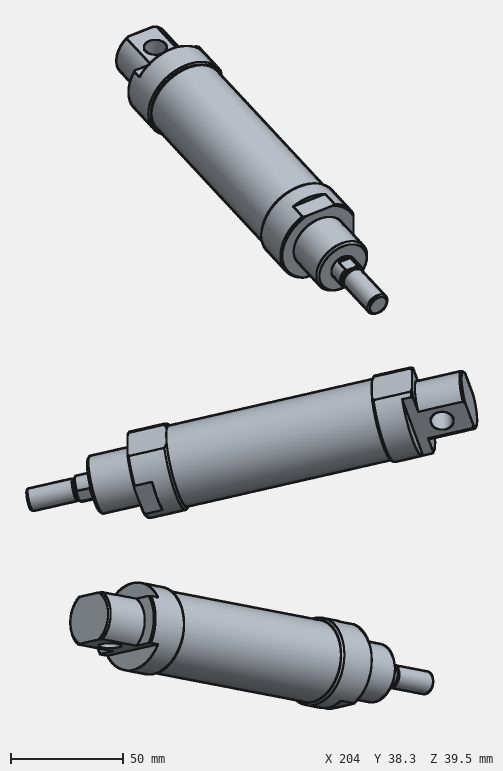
import cadquery as cq


overall_length = 204.0
cap_rear_x = 21.5
tongue_flat_end_x = 26.3
tube_start_x = 40.0
tube_end_x = 135.0
wrench_flat_start_x = 144.6
cap_front_x = 153.2
nose_end_x = 173.6
rod_flat_start_x = 175.0
rod_shoulder_x = 181.5
rod_end_start_x = 182.8

cap_diameter = 39.5
tube_diameter = 37.1
tongue_diameter = 26.5
nose_diameter = 26.5
rod_diameter = 12.0
neck_diameter = 8.5
rod_end_diameter = 10.5

cap_flat_distance = 18.0
tongue_thickness = 21.5
rod_flat_width = 10.5
pivot_diameter = 10.2
pivot_x = 12.6

tongue_chamfer = 0.8
cap_face_chamfer = 0.6
rear_cap_joint_chamfer = 0.8
front_cap_joint_chamfer = 1.0
nose_chamfer = 1.0
rod_shoulder_chamfer = 0.6
rod_end_chamfer = 0.8

top_and_bottom = (0, 180)
back = (-90,)


def rod_section(start_x, end_x, diameter):
    """Round bar along the axis from start_x to end_x."""
    return cq.Workplane("YZ", origin=(start_x, 0, 0)).circle(diameter / 2).extrude(end_x - start_x)


def flat_cutter(start_x, end_x, distance, angle):
    """Block that leaves a flat at the given distance from the axis.

    The flat faces +Z at angle 0 and turns about the X axis.
    """
    block = cq.Workplane("XY", origin=(start_x, 0, distance)).box(
        end_x - start_x, cap_diameter, cap_diameter, centered=(False, True, False)
    )
    return block.rotate((0, 0, 0), (1, 0, 0), angle)


def cut_flats(body, start_x, end_x, distance, angles):
    """Cut a flat on the body at each of the angles."""
    for angle in angles:
        body = body.cut(flat_cutter(start_x, end_x, distance, angle))
    return body


def make_rear_cap():
    """Cap with a flat-sided, drilled pivot tongue."""
    cap = rod_section(cap_rear_x, tube_start_x, cap_diameter)
    cap = cap.faces("<X").chamfer(cap_face_chamfer)
    cap = cap.faces(">X").chamfer(rear_cap_joint_chamfer)
    cap = cut_flats(cap, cap_rear_x, tube_start_x, cap_flat_distance, back)

    tongue = rod_section(0, cap_rear_x, tongue_diameter).faces("<X").chamfer(tongue_chamfer)
    cap = cap.union(tongue)
    cap = cut_flats(cap, 0, tongue_flat_end_x, tongue_thickness / 2, top_and_bottom)

    pivot_hole = (
        cq.Workplane("XY")
        .center(pivot_x, 0)
        .circle(pivot_diameter / 2)
        .extrude(tongue_thickness, both=True)
    )
    return cap.cut(pivot_hole)


def make_tube():
    """Plain barrel between the two caps."""
    return rod_section(tube_start_x, tube_end_x, tube_diameter)


def make_front_cap():
    """Cap with wrench flats and a round nose."""
    cap = rod_section(tube_end_x, cap_front_x, cap_diameter)
    cap = cap.faces("<X").chamfer(front_cap_joint_chamfer)
    cap = cap.faces(">X").chamfer(cap_face_chamfer)
    cap = cut_flats(cap, tube_end_x, cap_front_x, cap_flat_distance, back)
    cap = cut_flats(cap, wrench_flat_start_x, cap_front_x, cap_flat_distance, top_and_bottom)

    nose = rod_section(cap_front_x, nose_end_x, nose_diameter).faces(">X").chamfer(nose_chamfer)
    return cap.union(nose)


def make_piston_rod():
    """Exposed rod end: a shank with two flats, an undercut neck and a plain round end."""
    shank = rod_section(nose_end_x, rod_shoulder_x, rod_diameter)
    shank = shank.faces(">X").chamfer(rod_shoulder_chamfer)
    shank = cut_flats(shank, rod_flat_start_x, rod_shoulder_x, rod_flat_width / 2, top_and_bottom)

    neck = rod_section(rod_shoulder_x, rod_end_start_x, neck_diameter)
    rod_end = rod_section(rod_end_start_x, overall_length, rod_end_diameter)
    rod_end = rod_end.faces(">X").chamfer(rod_end_chamfer)
    return shank.union(neck).union(rod_end)


rear_cap = make_rear_cap()
tube = make_tube()
front_cap = make_front_cap()
piston_rod = make_piston_rod()

result = cq.Compound.makeCompound(
    [rear_cap.val(), tube.val(), front_cap.val(), piston_rod.val()]
)